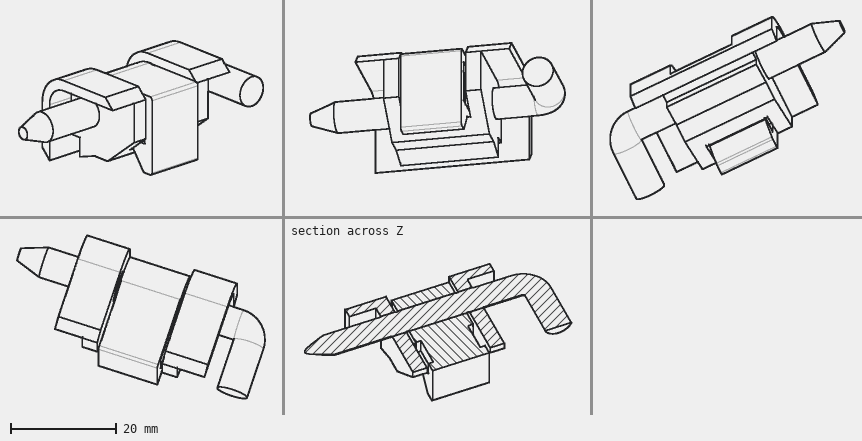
import cadquery as cq
import math

height = 17.5
total_length = 50.0
wall = 2.1
outer_radius = 6.0
pin_radius = 3.0
pin_x = 7.15
pin_z = 10.0

housing_start = 11.4
housing_length = 30.0
shell_width = 20.0
ear_length = 8.5
web_thickness = 3.0
web_slope_top = height - 10.1
web_slope_foot = 12.45
web_base = height - 16.1
web_base_left = 8.75
slot_right = 4.5
slot_top = 4.0

ledge_z = 5.0
ledge_right = 2.6
ramp_right = 5.6
floor_z = 3.9

housing_middle = housing_start + housing_length / 2
gap_width = housing_length - 2 * ear_length
web_length = gap_width + 2 * web_thickness

corner_x = outer_radius
corner_z = height - outer_radius
inner_radius = outer_radius - wall
arc_middle_angle = math.radians(45)
outer_arc_middle = (
    corner_x - outer_radius * math.cos(arc_middle_angle),
    corner_z + outer_radius * math.sin(arc_middle_angle),
)
inner_arc_middle = (
    corner_x - inner_radius * math.cos(arc_middle_angle),
    corner_z + inner_radius * math.sin(arc_middle_angle),
)

barrel_radius = 6.0
barrel_length = 12.0
leaf_length = 11.8
leaf_right = 21.1
leg_tip_x = 15.75
leg_foot_x = 18.7
leaf_edge_round = 0.6
recess_right = 19.0
recess_bottom = height - 11.6
recess_border = 2.1
recess_depth = 1.0

barrel_top = pin_z + barrel_radius
barrel_bottom = pin_z - barrel_radius
recess_left = pin_x + barrel_radius
recess_top = barrel_top - recess_border

tip_radius = 1.25
tip_length = 5.0
handle_end = 20.1
bend_radius = pin_radius

bend_start = total_length - pin_radius - bend_radius


def extrude_along_y(outline, length):
    """Extrude a closed XZ outline by length, centred on the middle of the housing."""
    return outline.extrude(length / 2, both=True).translate((0, housing_middle, 0))


def pin_bore():
    """Cylinder of the pin's diameter along the hinge axis."""
    bore = cq.Workplane("XZ").center(pin_x, pin_z).circle(pin_radius)
    return extrude_along_y(bore, total_length)


def make_shell():
    """Bent sheet with a rounded corner and both free edges bevelled to the inside."""
    outline = (
        cq.Workplane("XZ")
        .moveTo(wall, 0)
        .lineTo(0, wall)
        .lineTo(0, corner_z)
        .threePointArc(outer_arc_middle, (corner_x, height))
        .lineTo(shell_width - wall, height)
        .lineTo(shell_width, height - wall)
        .lineTo(corner_x, height - wall)
        .threePointArc(inner_arc_middle, (wall, corner_z))
        .close()
    )
    return extrude_along_y(outline, housing_length)


def make_web():
    """Plate that fills the inside of the shell, with a slot beside the wall."""
    outline = (
        cq.Workplane("XZ")
        .moveTo(wall, slot_top)
        .lineTo(wall, corner_z)
        .threePointArc(inner_arc_middle, (corner_x, height - wall))
        .lineTo(shell_width, height - wall)
        .lineTo(shell_width, web_slope_top)
        .lineTo(web_slope_foot, web_base)
        .lineTo(web_base_left, web_base)
        .lineTo(slot_right, 0)
        .lineTo(slot_right, slot_top)
        .close()
    )
    return extrude_along_y(outline, web_length)


def make_gap():
    """Space between the ears, down to the ledge, ramp and floor."""
    outline = (
        cq.Workplane("XZ")
        .moveTo(0, ledge_z)
        .lineTo(ledge_right, ledge_z)
        .lineTo(ramp_right, floor_z)
        .lineTo(shell_width, floor_z)
        .lineTo(shell_width, height)
        .lineTo(0, height)
        .close()
    )
    return extrude_along_y(outline, gap_width)


def make_housing():
    """Shell with its webs, opened by the gap and bored for the pin."""
    return make_shell().union(make_web()).cut(make_gap()).cut(pin_bore())


def make_end_recess(side):
    """Block to cut from one end of the leaf, half inside it; side is -1 or 1 along Y."""
    block = cq.Workplane("XY").box(
        recess_right - recess_left, 2 * recess_depth, recess_top - recess_bottom
    )
    return block.translate((
        (recess_left + recess_right) / 2,
        housing_middle + side * leaf_length / 2,
        (recess_bottom + recess_top) / 2,
    ))


def make_leaf():
    """Barrel around the pin with an arm and a leg that ends level with the housing."""
    barrel = cq.Workplane("XZ").center(pin_x, pin_z).circle(barrel_radius)
    barrel = extrude_along_y(barrel, barrel_length)
    outline = (
        cq.Workplane("XZ")
        .moveTo(pin_x, barrel_top)
        .lineTo(leaf_right, barrel_top)
        .lineTo(leaf_right, 0)
        .lineTo(leg_foot_x, 0)
        .lineTo(leg_tip_x, barrel_bottom)
        .lineTo(pin_x, barrel_bottom)
        .close()
    )
    arm = extrude_along_y(outline, leaf_length)
    arm = arm.edges("|Y and (>X or <Z)").fillet(leaf_edge_round)

    for side in (-1, 1):
        arm = arm.cut(make_end_recess(side))
    return barrel.union(arm).cut(pin_bore())


def make_pin():
    """Hinge pin with a tapered tip and a handle bent toward +X."""
    shaft = (
        cq.Workplane("XY")
        .lineTo(tip_radius, 0)
        .lineTo(pin_radius, tip_length)
        .lineTo(pin_radius, bend_start)
        .lineTo(0, bend_start)
        .close()
        .revolve(360, (0, 0), (0, 1))
        .translate((pin_x, 0, pin_z))
    )
    bend_end_x = pin_x + bend_radius
    bend = (
        cq.Workplane("XZ")
        .circle(pin_radius)
        .revolve(90, (bend_radius, 0), (bend_radius, -1))
        .translate((pin_x, bend_start, pin_z))
    )
    handle = (
        cq.Workplane("YZ", origin=(bend_end_x, bend_start + bend_radius, pin_z))
        .circle(pin_radius)
        .extrude(handle_end - bend_end_x)
    )
    return shaft.union(bend).union(handle)


housing = make_housing()
leaf = make_leaf()
pin = make_pin()

result = cq.Compound.makeCompound([
    housing.solids().val(),
    leaf.solids().val(),
    pin.solids().val(),
])